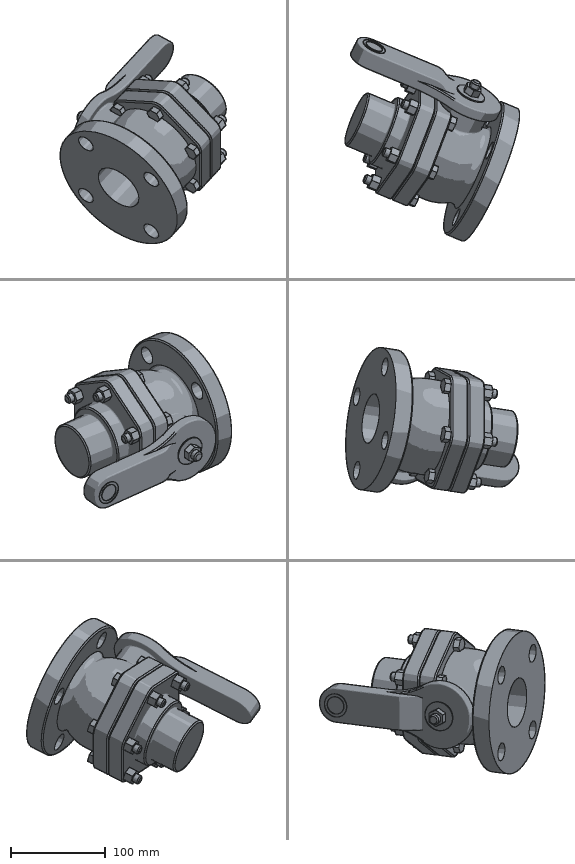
import cadquery as cq
import math


OVERALL_WIDTH = 168.3
EDGE = 1.5

FLANGE_DIA = 152.3
FLANGE_THICK = 19.8
FLANGE_HOLE_DIA = 19.0
FLANGE_HOLE_CIRCLE = 120.0
FLANGE_HOLES = 4

BODY_R = 50.7
NECK_R = 43.2
NECK_FOOT_R = 46.7
NECK_Y = 26.0
SHOULDER_Y = 28.6
SHOULDER_R = 43.6
BODY_STRAIGHT_Y = 54.0

JOINT_Y0 = 70.1
JOINT_Y1 = 108.0
JOINT_SPLIT_Y = (JOINT_Y0 + JOINT_Y1) / 2
JOINT_HALF_WIDTH = 56.9
JOINT_PEAK_Z = 71.0
JOINT_SIDE_Z = 36.0
JOINT_CORNER_R = 13.5

BOLT_CIRCLE_R = 55.3
BOLT_COUNT = 6
BOLT_DIA = 9.6
BOLT_TIP_Y = 124.0
BOLT_CHAMFER = 1.3
NUT_CORNERS = 16.7
NUT_HEIGHT = 9.2
HEAD_HEIGHT = 6.7

COLLAR_DIA = 76.3
COLLAR_END_Y = 123.9
TUBE_DIA = 60.5
TUBE_END_Y = 155.5
ROOT_FILLET = 1.2

STEM_Y = 57.2
STEM_BOSS_DIA = 54.0
LEVER_BACK_X = -64.7
LEVER_PLATE_THICK = 11.5
LEVER_GRIP_THICK = 19.0
LEVER_DISC_R = 36.3
LEVER_GRIP_R = 19.2
LEVER_NECK_R = 79.1
LEVER_LENGTH_Y = 192
RAMP_FOOT_Y = 76.3
RAMP_TOP_Y = 100.0
RING_OUTER_DIA = 25.5
RING_INNER_DIA = 19.0
RING_HEIGHT = 0.8
WASHER_DIA = 31.7
WASHER_THICK = 1.3
STEM_NUT_FLATS = 16.0
STEM_NUT_HEIGHT = 7.7
STEM_DIA = 11.1
STEM_TIP_X = FLANGE_DIA / 2 - OVERALL_WIDTH

BORE_DIA = 52.6
BORE_DEPTH = STEM_Y

CENTER_TOLERANCE = 0.02
SEAM_MARGIN = 2


def sketch_y(y):
    """Sketch plane at height y, drawn in X and Z, whose extrusions go toward +Y."""
    return cq.Workplane(cq.Plane(origin=(0, y, 0), xDir=(1, 0, 0), normal=(0, 1, 0)))


def sketch_x(x):
    """Sketch plane at x, drawn in Y and Z, whose extrusions go toward +X."""
    return cq.Workplane("YZ", origin=(x, 0, 0))


def cylinder_y(dia, y0, y1):
    return sketch_y(y0).circle(dia / 2).extrude(y1 - y0)


def fillet_root(solid, center, radius):
    """Round the smallest circular edge centred on the given point."""
    low = [value - CENTER_TOLERANCE for value in center]
    high = [value + CENTER_TOLERANCE for value in center]
    circles = solid.edges("%CIRCLE").edges(cq.selectors.BoxSelector(low, high))
    return circles.edges(cq.selectors.RadiusNthSelector(0)).fillet(radius)


def make_pipe_flange():
    flange = cylinder_y(FLANGE_DIA, 0, FLANGE_THICK).faces(">Y").edges().chamfer(EDGE)
    holes = (
        sketch_y(0)
        .polarArray(FLANGE_HOLE_CIRCLE / 2, 180 / FLANGE_HOLES, 360, FLANGE_HOLES)
        .circle(FLANGE_HOLE_DIA / 2)
        .extrude(FLANGE_THICK)
    )
    return flange.cut(holes)


def make_body():
    """Turned profile: flared neck, rounded shoulder and straight barrel."""
    return (
        cq.Workplane("XY")
        .moveTo(0, JOINT_SPLIT_Y)
        .lineTo(BODY_R, JOINT_SPLIT_Y)
        .lineTo(BODY_R, BODY_STRAIGHT_Y)
        .tangentArcPoint((SHOULDER_R, SHOULDER_Y), relative=False)
        .threePointArc((NECK_R, NECK_Y), (NECK_FOOT_R, FLANGE_THICK))
        .lineTo(NECK_FOOT_R, 0)
        .lineTo(0, 0)
        .close()
        .revolve(360, (0, 0, 0), (0, 1, 0))
    )


def make_joint_plate(y0, y1):
    """Six-sided plate with rounded corners; the edges of both faces are broken."""
    corners = [
        (0, JOINT_PEAK_Z),
        (JOINT_HALF_WIDTH, JOINT_SIDE_Z),
        (JOINT_HALF_WIDTH, -JOINT_SIDE_Z),
        (0, -JOINT_PEAK_Z),
        (-JOINT_HALF_WIDTH, -JOINT_SIDE_Z),
        (-JOINT_HALF_WIDTH, JOINT_SIDE_Z),
    ]
    plate = sketch_y(y0).polyline(corners).close().extrude(y1 - y0)
    return plate.edges("|Y").fillet(JOINT_CORNER_R).faces("<Y or >Y").edges().chamfer(EDGE)


def make_joint_bolt(angle):
    """Bolt with its head on the body side and a nut on the outlet side."""
    x = BOLT_CIRCLE_R * math.cos(math.radians(angle))
    z = BOLT_CIRCLE_R * math.sin(math.radians(angle))
    shank = cylinder_y(BOLT_DIA, JOINT_Y0, BOLT_TIP_Y).faces(">Y").edges().chamfer(BOLT_CHAMFER)
    nut = sketch_y(JOINT_Y1).polygon(6, NUT_CORNERS).extrude(NUT_HEIGHT)
    head = sketch_y(JOINT_Y0).polygon(6, NUT_CORNERS).extrude(-HEAD_HEIGHT)
    return shank.union(nut).union(head).translate((x, 0, z))


def make_outlet():
    collar = cylinder_y(COLLAR_DIA, JOINT_SPLIT_Y, COLLAR_END_Y).faces(">Y").edges().chamfer(EDGE)
    tube = cylinder_y(TUBE_DIA, JOINT_SPLIT_Y, TUBE_END_Y).faces(">Y").edges().chamfer(EDGE)
    outlet = collar.union(tube)
    return fillet_root(outlet, (0, COLLAR_END_Y, 0), ROOT_FILLET)


def make_lever_plate():
    """Disc around the stem, drawn in by concave sides to the width of the grip."""
    reach = LEVER_DISC_R + LEVER_NECK_R
    neck_rise = LEVER_GRIP_R + LEVER_NECK_R
    neck_run = math.sqrt(reach**2 - neck_rise**2)
    tangent_y = STEM_Y + LEVER_DISC_R * neck_run / reach
    tangent_z = LEVER_DISC_R * neck_rise / reach
    neck_end_y = STEM_Y + neck_run
    grip_center_y = LEVER_LENGTH_Y - LEVER_GRIP_R
    plate = (
        sketch_x(LEVER_BACK_X)
        .moveTo(tangent_y, -tangent_z)
        .threePointArc((STEM_Y - LEVER_DISC_R, 0), (tangent_y, tangent_z))
        .tangentArcPoint((neck_end_y, LEVER_GRIP_R), relative=False)
        .lineTo(grip_center_y, LEVER_GRIP_R)
        .threePointArc((LEVER_LENGTH_Y, 0), (grip_center_y, -LEVER_GRIP_R))
        .lineTo(neck_end_y, -LEVER_GRIP_R)
        .tangentArcPoint((tangent_y, -tangent_z), relative=False)
        .close()
        .extrude(-LEVER_PLATE_THICK)
    )
    return plate.faces("<X or >X").edges().fillet(EDGE)


def make_lever_grip():
    """Thick grip whose outer face runs down to the plate in an S-shaped ramp."""
    plate_x = LEVER_BACK_X - LEVER_PLATE_THICK
    grip_x = LEVER_BACK_X - LEVER_GRIP_THICK
    ramp_middle = ((plate_x + grip_x) / 2, (RAMP_FOOT_Y + RAMP_TOP_Y) / 2)
    side = (
        cq.Workplane("XY", origin=(0, 0, -LEVER_GRIP_R))
        .moveTo(grip_x, LEVER_LENGTH_Y)
        .lineTo(grip_x, RAMP_TOP_Y)
        .tangentArcPoint(ramp_middle, relative=False)
        .tangentArcPoint((plate_x, RAMP_FOOT_Y), relative=False)
        .lineTo(LEVER_BACK_X, RAMP_FOOT_Y)
        .lineTo(LEVER_BACK_X, LEVER_LENGTH_Y)
        .close()
        .extrude(2 * LEVER_GRIP_R)
    )
    grip_center_y = LEVER_LENGTH_Y - LEVER_GRIP_R
    face_outline = (
        sketch_x(LEVER_BACK_X)
        .moveTo(RAMP_FOOT_Y, -LEVER_GRIP_R)
        .lineTo(grip_center_y, -LEVER_GRIP_R)
        .threePointArc((LEVER_LENGTH_Y, 0), (grip_center_y, LEVER_GRIP_R))
        .lineTo(RAMP_FOOT_Y, LEVER_GRIP_R)
        .close()
        .extrude(-LEVER_GRIP_THICK)
    )
    grip = side.intersect(face_outline)
    return grip.faces(">X").edges("not <Y").fillet(EDGE).faces("<X").edges("not <Y").fillet(EDGE)


def make_lever_ring():
    """Low raised ring on the round end of the grip."""
    return (
        sketch_x(LEVER_BACK_X - LEVER_GRIP_THICK)
        .center(LEVER_LENGTH_Y - LEVER_GRIP_R, 0)
        .circle(RING_OUTER_DIA / 2)
        .circle(RING_INNER_DIA / 2)
        .extrude(-RING_HEIGHT)
    )


def make_stem_end():
    """Washer, nut and threaded stem tip standing out of the lever disc."""
    washer_x = LEVER_BACK_X - LEVER_PLATE_THICK
    nut_x = washer_x - WASHER_THICK
    nut_corners = STEM_NUT_FLATS / math.cos(math.pi / 6)
    washer = sketch_x(washer_x).center(STEM_Y, 0).circle(WASHER_DIA / 2).extrude(-WASHER_THICK)
    nut = (
        sketch_x(nut_x)
        .center(STEM_Y, 0)
        .transformed(rotate=(0, 0, 90))
        .polygon(6, nut_corners)
        .extrude(-STEM_NUT_HEIGHT)
    )
    stem = sketch_x(LEVER_BACK_X).center(STEM_Y, 0).circle(STEM_DIA / 2).extrude(STEM_TIP_X - LEVER_BACK_X)
    stem = stem.faces("<X").edges().chamfer(EDGE)
    return washer.union(nut).union(stem)


def make_stem_boss():
    """Round boss from the lever to the pipe axis; it shows as a half round inside the bore."""
    return sketch_x(LEVER_BACK_X).center(STEM_Y, 0).circle(STEM_BOSS_DIA / 2).extrude(-LEVER_BACK_X)


def round_boss_seam(casting):
    """Round the curve where the stem boss leaves the round body."""
    reach = STEM_BOSS_DIA / 2 + SEAM_MARGIN
    seam = cq.selectors.BoxSelector(
        (-BODY_R - SEAM_MARGIN, STEM_Y - reach, -reach),
        (-BORE_DIA / 2 - SEAM_MARGIN, STEM_Y + reach, reach),
        True,
    )
    return casting.edges(seam).fillet(EDGE)


casting = make_pipe_flange().union(make_body())
casting = casting.cut(cylinder_y(BORE_DIA, 0, BORE_DEPTH))
casting = casting.union(make_stem_boss())
casting = round_boss_seam(casting)

joint = make_joint_plate(JOINT_Y0, JOINT_SPLIT_Y)
joint = joint.union(make_joint_plate(JOINT_SPLIT_Y, JOINT_Y1)).union(make_outlet())
joint = fillet_root(joint, (0, JOINT_Y1, 0), EDGE)
for index in range(BOLT_COUNT):
    joint = joint.union(make_joint_bolt(90 + index * 360 / BOLT_COUNT))

lever = make_lever_plate().union(make_lever_grip()).union(make_lever_ring())

result = casting.union(lever)
result = fillet_root(result, (LEVER_BACK_X, STEM_Y, 0), EDGE)
result = result.union(joint).union(make_stem_end())